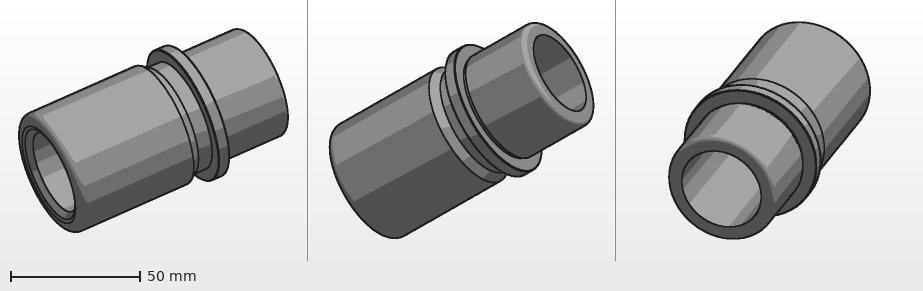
import cadquery as cq

length = 95.0
body_radius = 25.0
rear_radius = 22.5
flange_diameter = 55.0
flange_radius = flange_diameter / 2
bore_radius = 16.5

shoulder_start = 50.35
shoulder_end = 54.0
flange_start = 60.0
flange_width = 4.9
flange_end = flange_start + flange_width
flange_edge_chamfer = 0.3

relief_width = 1.3
relief_depth = 0.6
relief_edge_run = 0.3

front_round = 3.0
rear_round = 2.0
mouth_radius = 20.3
mouth_break_radius = 18.9
mouth_break_depth = 0.6
mouth_depth = 2.8
bore_edge_inset = 0.1
bore_edge_run = 0.6


def round_middle(radius):
    """Inset of a quarter round's midpoint from both of its tangent lines."""
    return radius * (1 - 0.5 ** 0.5)


def half_section():
    """Half section of the bush: X is the radius, Y runs along the axis."""
    front_inset = round_middle(front_round)
    rear_inset = round_middle(rear_round)
    relief_radius = rear_radius - relief_depth
    relief_end = flange_end + relief_width
    return (
        cq.Workplane("XY")
        .moveTo(mouth_radius, 0)
        .lineTo(body_radius - front_round, 0)
        .threePointArc((body_radius - front_inset, front_inset), (body_radius, front_round))
        .lineTo(body_radius, shoulder_start)
        .lineTo(rear_radius, shoulder_end)
        .lineTo(rear_radius, flange_start)
        .lineTo(flange_radius - flange_edge_chamfer, flange_start)
        .lineTo(flange_radius, flange_start + flange_edge_chamfer)
        .lineTo(flange_radius, flange_end - flange_edge_chamfer)
        .lineTo(flange_radius - flange_edge_chamfer, flange_end)
        .lineTo(relief_radius, flange_end)
        .lineTo(relief_radius, relief_end - relief_edge_run)
        .lineTo(rear_radius, relief_end)
        .lineTo(rear_radius, length - rear_round)
        .threePointArc((rear_radius - rear_inset, length - rear_inset), (rear_radius - rear_round, length))
        .lineTo(bore_radius, length)
        .lineTo(bore_radius, mouth_depth + bore_edge_run)
        .lineTo(bore_radius + bore_edge_inset, mouth_depth)
        .lineTo(mouth_break_radius, mouth_break_depth)
        .close()
    )


result = half_section().revolve(360, (0, 0, 0), (0, 1, 0))